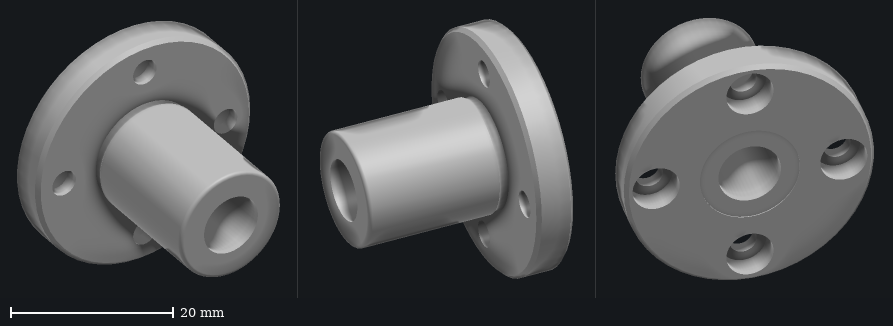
import cadquery as cq
import math

total_length = 24.0
flange_diameter = 32.0
flange_thickness = 5.0
flange_chamfer = 0.5

body_diameter = 15.0
body_end_radius = 0.5
bore_diameter = 8.0

waist_diameter = 14.4
neck_length = 1.28
waist_offset = 0.48

bolt_circle_diameter = 24.0
bolt_count = 4
bolt_hole_diameter = 3.5
counterbore_diameter = 6.0
counterbore_depth = 3.2

seal_diameter = 12.8
seal_recess = 0.13


def cylinder_along_x(start, length, diameter):
    return cq.Workplane("YZ").workplane(offset=start).circle(diameter / 2).extrude(length)


def make_flange():
    disc = cylinder_along_x(0, flange_thickness, flange_diameter)
    return disc.faces("<X or >X").edges().chamfer(flange_chamfer)


def make_body():
    waist_radius = waist_diameter / 2
    body_radius = body_diameter / 2
    sleeve_start = flange_thickness + neck_length

    waist_x = flange_thickness + waist_offset
    rise_to_body = body_radius - waist_radius
    run_to_body = sleeve_start - waist_x
    arc_radius = (run_to_body**2 + rise_to_body**2) / (2 * rise_to_body)
    rise_to_flange = arc_radius - math.sqrt(arc_radius**2 - waist_offset**2)
    root_radius = waist_radius + rise_to_flange

    profile = (
        cq.Workplane("XY")
        .lineTo(0, root_radius)
        .lineTo(flange_thickness, root_radius)
        .threePointArc((waist_x, waist_radius), (sleeve_start, body_radius))
        .lineTo(total_length, body_radius)
        .lineTo(total_length, 0)
        .close()
    )
    body = profile.revolve(360, (0, 0, 0), (1, 0, 0))
    return body.faces(">X").edges().fillet(body_end_radius)


def cut_seal_recess(part):
    return part.cut(cylinder_along_x(0, seal_recess, seal_diameter))


def cut_mounting_holes(part):
    return (
        part.faces("<X")
        .workplane(origin=(0, 0, 0))
        .polarArray(bolt_circle_diameter / 2, 0, 360, bolt_count)
        .cboreHole(bolt_hole_diameter, counterbore_diameter, counterbore_depth)
    )


result = make_flange().union(make_body())
result = cut_seal_recess(result)
result = cut_mounting_holes(result)
result = result.cut(cylinder_along_x(0, total_length, bore_diameter))